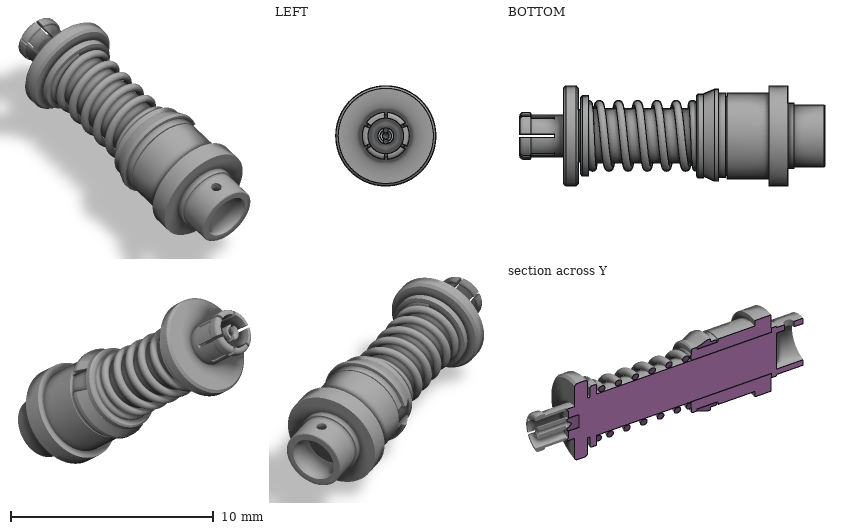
import cadquery as cq


plug_radius = 1.04
bead_radius = 1.16
bead_length = 0.55
bead_nose_fillet = 0.2
bead_back_fillet = 0.08
socket_radius = 0.88
socket_depth = 1.8
slot_count = 6
slot_width = 0.15
slot_length = 1.71

flange_start = 2.15
flange_end = 2.9
flange_radius = 2.475
flange_chamfer = 0.125
neck_radius = 1.3
seat_start = 3.0
seat_end = 3.4
seat_radius = 1.99
seat_chamfer = 0.1

tube_radius = 1.35
shoulder_start = 13.24
shoulder_end = 13.55
shoulder_radius = 1.62
cup_end = 15.06
cup_radius = 1.53
cup_chamfer = 0.04
cup_bore_radius = 1.15
solder_hole_diameter = 0.52
solder_hole_x = 14.25

contact_start = 0.15
contact_radius = 0.39
contact_bore_radius = 0.17
contact_mouth_radius = 0.28
contact_mouth_depth = 0.11
contact_slot_width = 0.23
contact_slot_end = slot_length
contact_bore_end = 1.81
contact_end = 2.4

wire_radius = 0.195
spring_outer_radius = 1.75
coil_radius = spring_outer_radius - wire_radius
closed_pitch = 0.4
open_coils = 5
open_start = 3.69
open_end = 8.43

housing_start = 8.72
housing_end = shoulder_start
lip_end = 9.07
lip_radius = 2.07
lip_chamfer = 0.08
clip_groove_radius = 1.95
barrel_start = 10.24
barrel_radius = 2.125
rear_flange_start = 12.3

clip_end = 10.17
barb_peak_start = 9.62
barb_peak_end = 9.82
barb_radius = 2.31
clip_gap = 1.15


def turned(points):
    """Solid of revolution about X from (x, radius) points."""
    return cq.Workplane("XY").polyline(points).close().revolve(360, (0, 0, 0), (1, 0, 0))


def rod(start, end, radius):
    """Cylinder along X."""
    return cq.Workplane("YZ", origin=(start, 0, 0)).circle(radius).extrude(end - start)


def chamfered_disc(start, end, radius, front, back):
    """Disc along X with its rims chamfered by the given sizes; 0 leaves a sharp rim."""
    disc = rod(start, end, radius)
    if front:
        disc = disc.faces("<X").chamfer(front)
    if back:
        disc = disc.faces(">X").chamfer(back)
    return disc


def slot_cutter(start, end, width, reach):
    """Upright slab on the axis, reaching above and below it."""
    slab = cq.Workplane("XY").box(end - start, width, 2 * reach)
    return slab.translate(((start + end) / 2, 0, 0))


def make_plug():
    bead = rod(0, bead_length, bead_radius)
    bead = bead.faces("<X").edges().fillet(bead_nose_fillet)
    bead = bead.faces(">X").edges().fillet(bead_back_fillet)
    plug = bead.union(rod(bead_length, flange_start, plug_radius))
    plug = plug.cut(rod(0, socket_depth, socket_radius))
    slot = slot_cutter(0, slot_length, slot_width, bead_radius)
    for index in range(slot_count // 2):
        plug = plug.cut(slot.rotate((0, 0, 0), (1, 0, 0), index * 360 / slot_count))
    return plug


def make_shell():
    shell = make_plug()
    flange = chamfered_disc(flange_start, flange_end, flange_radius, flange_chamfer, flange_chamfer)
    shell = shell.union(flange)
    shell = shell.union(rod(flange_end, seat_start, neck_radius))
    shell = shell.union(chamfered_disc(seat_start, seat_end, seat_radius, seat_chamfer, 0))
    shell = shell.union(rod(seat_end, shoulder_start, tube_radius))
    shell = shell.union(rod(shoulder_start, shoulder_end, shoulder_radius))
    shell = shell.union(chamfered_disc(shoulder_end, cup_end, cup_radius, 0, cup_chamfer))
    shell = shell.cut(rod(shoulder_end, cup_end, cup_bore_radius))
    solder_hole = cq.Workplane("XY").center(solder_hole_x, 0).circle(solder_hole_diameter / 2)
    solder_hole = solder_hole.extrude(cup_radius)
    shell = shell.cut(solder_hole)
    return shell.cut(rod(socket_depth, contact_end, contact_radius))


def make_contact():
    drill_point_depth = contact_bore_radius
    contact = rod(contact_start, contact_end, contact_radius)
    bore = turned([
        (contact_start, 0),
        (contact_start, contact_mouth_radius),
        (contact_start + contact_mouth_depth, contact_bore_radius),
        (contact_bore_end, contact_bore_radius),
        (contact_bore_end + drill_point_depth, 0),
    ])
    slot = slot_cutter(contact_start, contact_slot_end, contact_slot_width, contact_radius)
    return contact.cut(bore).cut(slot)


def make_coils(start, pitch, turns):
    """Coils that begin and end above the axis, with end faces in the plane y = 0."""
    helix = cq.Wire.makeHelix(pitch, pitch * turns, coil_radius)
    wire_section = cq.Workplane("XZ").center(coil_radius, 0).circle(wire_radius)
    coils = wire_section.sweep(cq.Workplane(helix), isFrenet=True)
    coils = coils.rotate((0, 0, 0), (0, 1, 0), 90).rotate((0, 0, 0), (1, 0, 0), 180)
    return coils.translate((start, 0, 0))


def make_spring():
    spring = make_coils(open_start, (open_end - open_start) / open_coils, open_coils)
    spring = spring.union(make_coils(open_start - closed_pitch, closed_pitch, 1))
    spring = spring.union(make_coils(open_end, closed_pitch, 1))
    return spring.intersect(rod(seat_end, housing_start, seat_radius))


def make_housing():
    housing = chamfered_disc(housing_start, lip_end, lip_radius, lip_chamfer, 0)
    housing = housing.union(rod(lip_end, barrel_start, clip_groove_radius))
    housing = housing.union(rod(barrel_start, rear_flange_start, barrel_radius))
    housing = housing.union(rod(rear_flange_start, housing_end, flange_radius))
    return housing.cut(rod(housing_start, housing_end, tube_radius))


def make_clip():
    ring = turned([
        (lip_end, clip_groove_radius),
        (lip_end, lip_radius),
        (barb_peak_start, barb_radius),
        (barb_peak_end, barb_radius),
        (barb_peak_end, barrel_radius),
        (clip_end, barrel_radius),
        (clip_end, clip_groove_radius),
    ])
    clip_length = clip_end - lip_end
    gap = cq.Workplane("XY").box(clip_length, barb_radius, clip_gap)
    gap = gap.translate((lip_end + clip_length / 2, barb_radius / 2 + clip_groove_radius / 2, 0))
    return ring.cut(gap)


shell = make_shell()
contact = make_contact()
spring = make_spring()
housing = make_housing()
clip = make_clip()

bodies = [shell, contact, spring, housing, clip]
result = cq.Compound.makeCompound([body.solids().val() for body in bodies])